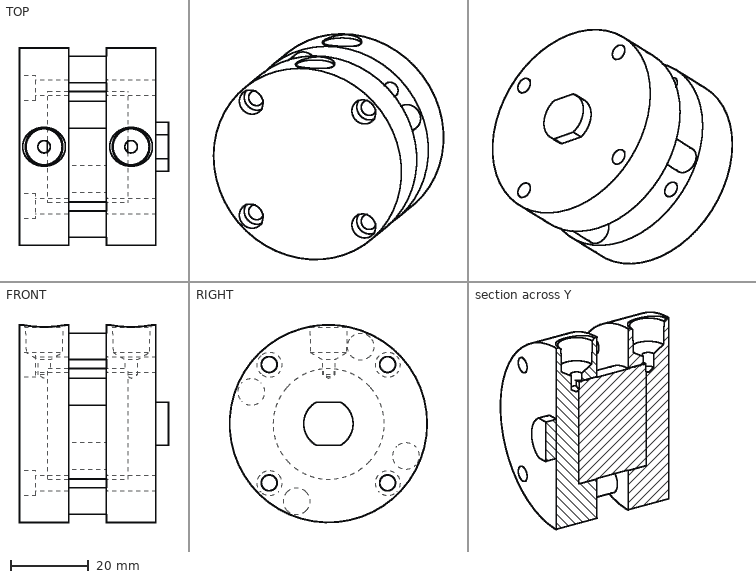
import cadquery as cq
import math

plate_diameter = 50.8
plate_thickness = 12.7
plate_gap = 9.65
hub_length = 3.3
right_plate_x = plate_thickness + plate_gap
hub_x = right_plate_x + plate_thickness

drum_diameter = 28.5
drum_seat_depth = 5.55
drum_x = plate_thickness - drum_seat_depth
drum_length = plate_gap + 2 * drum_seat_depth

bolt_circle_radius = 21.5
spacer_diameter = 6.85
spacer_angles = [22.5 + 90 * i for i in range(4)]
screw_angles = [45 + 90 * i for i in range(4)]
screw_hole_diameter = 4.0
counterbore_diameter = 6.4
counterbore_depth = 4.05

hub_diameter = 12.7
hub_across_flats = 11.11

port_countersink_radius = 5.5
port_mouth_radius = 4.82
port_bottom_radius = 4.62
port_taper = 1 / 32
passage_radius = 1.6
drill_tip_half_angle = math.radians(59)


def disc(x, diameter, length):
    """A cylinder along X whose near face is at x."""
    return cq.Workplane("YZ", origin=(x, 0, 0)).circle(diameter / 2).extrude(length)


def rod_on_bolt_circle(x, angle, diameter, length):
    """A cylinder along X on the bolt circle; the angle runs from +Z towards +Y."""
    y = bolt_circle_radius * math.sin(math.radians(angle))
    z = bolt_circle_radius * math.cos(math.radians(angle))
    return disc(x, diameter, length).translate((0, y, z))


def port_cutter(x):
    """Countersunk taper port, conical floor and a narrow passage that reaches the drum pocket."""
    top_z = plate_diameter / 2
    mouth_z = top_z - (port_countersink_radius - port_mouth_radius)
    bottom_z = mouth_z - (port_mouth_radius - port_bottom_radius) / port_taper
    passage_z = bottom_z - (port_bottom_radius - passage_radius) / math.tan(drill_tip_half_angle)
    passage_end_z = drum_diameter / 2 - passage_radius
    tip_z = passage_end_z - passage_radius / math.tan(drill_tip_half_angle)
    half_profile = (
        cq.Workplane("XZ", origin=(x, 0, 0))
        .moveTo(0, top_z)
        .lineTo(port_countersink_radius, top_z)
        .lineTo(port_mouth_radius, mouth_z)
        .lineTo(port_bottom_radius, bottom_z)
        .lineTo(passage_radius, passage_z)
        .lineTo(passage_radius, passage_end_z)
        .lineTo(0, tip_z)
        .close()
    )
    return half_profile.revolve(360, (0, 0, 0), (0, 1, 0))


def make_plate(x):
    """End plate with a port, screw holes and a pocket for the drum."""
    plate = disc(x, plate_diameter, plate_thickness)
    plate = plate.cut(port_cutter(x + plate_thickness / 2))
    plate = plate.cut(disc(drum_x, drum_diameter, drum_length))
    for angle in screw_angles:
        plate = plate.cut(rod_on_bolt_circle(x, angle, screw_hole_diameter, plate_thickness))
    return plate


def make_left_plate():
    """End plate counterbored for the screw heads."""
    plate = make_plate(0)
    for angle in screw_angles:
        plate = plate.cut(rod_on_bolt_circle(0, angle, counterbore_diameter, counterbore_depth))
    return plate


def make_hub():
    """Stub on the outer face of the right plate, flat on top and bottom."""
    flats = cq.Workplane("XY").box(hub_length, hub_diameter, hub_across_flats, centered=(False, True, True))
    return disc(hub_x, hub_diameter, hub_length).intersect(flats.translate((hub_x, 0, 0)))


left_plate = make_left_plate()
right_plate = make_plate(right_plate_x)
drum = disc(drum_x, drum_diameter, drum_length)
hub = make_hub()
spacers = [
    rod_on_bolt_circle(plate_thickness, angle, spacer_diameter, plate_gap)
    for angle in spacer_angles
]

result = cq.Compound.makeCompound(
    [left_plate.val(), right_plate.val(), drum.val(), hub.val()] + [spacer.val() for spacer in spacers]
)